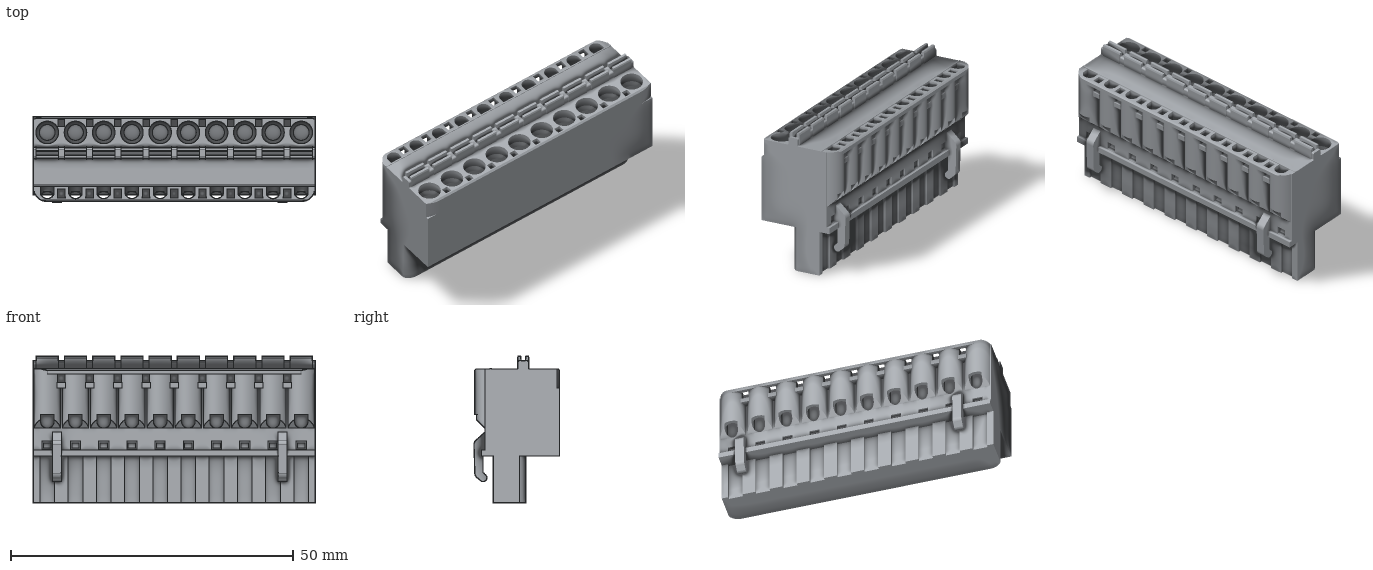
import cadquery as cq


POLES = 10
PITCH = 5.0
LENGTH = POLES * PITCH
OVERALL_HEIGHT = 26.0
CLIP_FRONT = -15.2

BODY_FRONT = -13.25
BODY_BOTTOM = 8.3
BODY_TOP = 23.75
BACK_CHAMFER = 0.3
BACK_ROUND_X = 2.5
BACK_ROUND_Y = 0.5
BACK_ROUND_BOTTOM = 20.4

PLUG_BACK = -6.0
PLUG_FRONT = -11.8
PLUG_ROUND_X = 2.0
PLUG_ROUND_Y = 1.15
PLUG_GROOVE_WIDTH = 2.6
PLUG_GROOVE_DEPTH = 0.45

LEDGE_FRONT = -13.85
LEDGE_TOP = 9.4

COLUMN_DIAMETER = 4.85
COLUMN_RADIUS = COLUMN_DIAMETER / 2
COLUMN_FRONT = -15.05
COLUMN_Y = COLUMN_FRONT + COLUMN_RADIUS
COLUMN_BOTTOM = 13.25
CAP_BOTTOM = 22.8
CAP_CHAMFER = 0.25

WIRE_DIAMETER = 2.4
WIRE_RADIUS = WIRE_DIAMETER / 2
WIRE_Y = -13.3
WIRE_BACK = -12.35
WIRE_ARC_Z = COLUMN_BOTTOM + WIRE_RADIUS
WINDOW_TOP = COLUMN_BOTTOM + WIRE_DIAMETER

FRONT_POCKET_WIDTH = 1.3
FRONT_POCKET_BACK = -12.85
FRONT_POCKET_FRONT = -14.45
FRONT_POCKET_FLOOR = 21.35
FILLER_BOTTOM = 20.4
FILLER_WIDTH = 1.5
BACK_POCKET_WIDTH = 1.15
BACK_POCKET_BACK = -0.5
BACK_POCKET_FRONT = -1.7
BACK_POCKET_DEPTH = 2.5

WELL_TOP_DIAMETER = 4.0
WELL_FLOOR_DIAMETER = 2.8
WELL_DEPTH = 2.5
WELL_Y = -2.8

RIDGE_BACK = -5.45
RIDGE_FRONT = -7.45
SEPARATOR_TOP = 25.2
SEPARATOR_INSET = 0.05
SEPARATOR_ROUND = 0.3
SEPARATOR_FOOT = 0.2
TILE_WIDTH = 3.95
FIN_THICKNESS = 0.55
FIN_BEVEL_HEIGHT = 0.3
FIN_BEVEL_DEPTH = 0.1
GROOVE_TAPER = 0.15
GROOVE_FLOOR = 24.75

RIB_BACK = -12.1
RIB_FRONT = -12.35
RIB_HEIGHT = 0.1

TEST_WIDTH = 1.8
TEST_BOTTOM = 9.45
TEST_TOP = 10.95
TEST_DEPTH = 0.5
TEST_INNER_WIDTH = 1.3
TEST_INNER_BOTTOM = 9.75
TEST_INNER_TOP = 10.6
TEST_INNER_DEPTH = 0.75

CLIP_WIDTH = 1.6
CLIP_FIRST_X = 4.2
CLIP_SPACING = 8 * PITCH
CLIP_TOP = 12.55
CLIP_INNER_Y = -13.55
CLIP_SHOULDER_END_Z = 10.35
CLIP_SHOULDER_RADIUS = 1.05
CLIP_KNEE_RADIUS = 1.0
CLIP_HOOK_NECK_Z = 5.4
CLIP_HOOK_RADIUS = 0.7
CLIP_SHOULDER_START = (-14.85, 11.1)
CLIP_KNEE_START = (-15.05, 5.25)
CLIP_KNEE_END = (-14.6, 4.45)
CLIP_HOOK_TOE = (-13.9, 3.85)
CLIP_HOOK_TIP = (-12.95, 4.8)

POLE_CENTRES = [(i + 0.5) * PITCH for i in range(POLES)]
POLE_BORDERS = [i * PITCH for i in range(1, POLES)]
MARGIN = 0.5


def block(x_start, x_end, y_back, y_front, z_low, z_high):
    """Box between the given limits; y_back is the larger Y."""
    size = (x_end - x_start, y_back - y_front, z_high - z_low)
    return cq.Workplane("XY").box(*size, centered=False).translate((x_start, y_front, z_low))


def centred_block(x_centre, width, y_back, y_front, z_low, z_high):
    return block(x_centre - width / 2, x_centre + width / 2, y_back, y_front, z_low, z_high)


def along_x(profile, x_centre, width):
    """Extrude a closed (y, z) profile along X."""
    start = cq.Workplane("YZ", origin=(x_centre - width / 2, 0, 0))
    return start.polyline(profile).close().extrude(width)


def post(x_centre, y_centre, radius, z_low, z_high):
    return cq.Workplane("XY", origin=(x_centre, y_centre, z_low)).circle(radius).extrude(z_high - z_low)


def bowed_slab(y_back, y_front, round_x, round_y, z_low, z_high):
    """Full-length slab whose back corners are arcs that run smoothly into the back wall."""
    arc_radius = (round_x**2 + round_y**2) / (2 * round_y)
    outline = (
        cq.Workplane("XY", origin=(0, 0, z_low))
        .moveTo(0, y_front)
        .lineTo(LENGTH, y_front)
        .lineTo(LENGTH, y_back - round_y)
        .radiusArc((LENGTH - round_x, y_back), -arc_radius)
        .lineTo(round_x, y_back)
        .radiusArc((0, y_back - round_y), -arc_radius)
        .close()
    )
    return outline.extrude(z_high - z_low)


def housing():
    lower = block(0, LENGTH, 0, BODY_FRONT, BODY_BOTTOM, BACK_ROUND_BOTTOM)
    upper = bowed_slab(0, BODY_FRONT, BACK_ROUND_X, BACK_ROUND_Y, BACK_ROUND_BOTTOM, BODY_TOP)
    back_edge = [
        (-BACK_CHAMFER, BODY_TOP),
        (0, BODY_TOP),
        (0, BODY_TOP - BACK_CHAMFER),
    ]
    upper = upper.cut(along_x(back_edge, LENGTH / 2, LENGTH))
    ledge = block(0, LENGTH, BODY_FRONT, LEDGE_FRONT, BODY_BOTTOM, LEDGE_TOP)
    return lower.union(upper).union(ledge)


def plug():
    body = bowed_slab(PLUG_BACK, PLUG_FRONT, PLUG_ROUND_X, PLUG_ROUND_Y, 0, BODY_BOTTOM)
    groove_back = PLUG_FRONT + PLUG_GROOVE_DEPTH
    for x in POLE_CENTRES:
        groove = centred_block(x, PLUG_GROOVE_WIDTH, groove_back, PLUG_FRONT - MARGIN, 0, BODY_BOTTOM)
        body = body.cut(groove)
    return body


def columns():
    """Round columns, bevelled at 45 degrees below and capped by a bar above."""
    cap = block(POLE_CENTRES[0], POLE_CENTRES[-1], COLUMN_Y, COLUMN_FRONT, CAP_BOTTOM, BODY_TOP)
    for x in POLE_CENTRES:
        cap = cap.union(post(x, COLUMN_Y, COLUMN_RADIUS, COLUMN_BOTTOM, BODY_TOP))
    reach = BODY_FRONT - COLUMN_FRONT + MARGIN
    foot_bevel = [
        (BODY_FRONT, COLUMN_BOTTOM),
        (BODY_FRONT - reach, COLUMN_BOTTOM),
        (BODY_FRONT - reach, COLUMN_BOTTOM + reach),
    ]
    top_bevel = [
        (COLUMN_FRONT, BODY_TOP - CAP_CHAMFER),
        (COLUMN_FRONT, BODY_TOP),
        (COLUMN_FRONT + CAP_CHAMFER, BODY_TOP),
    ]
    for bevel in (foot_bevel, top_bevel):
        cap = cap.cut(along_x(bevel, LENGTH / 2, LENGTH))
    return cap


def wire_entry(x):
    """Vertical hole, flat at the back and round at the front."""
    round_front = post(x, WIRE_Y, WIRE_RADIUS, WIRE_ARC_Z, BODY_TOP + MARGIN)
    flat_back = centred_block(x, WIRE_DIAMETER, WIRE_BACK, WIRE_Y, WIRE_ARC_Z, BODY_TOP + MARGIN)
    behind = centred_block(x, WIRE_DIAMETER, WIRE_Y + WIRE_DIAMETER, WIRE_BACK, WIRE_ARC_Z, BODY_TOP + MARGIN)
    return round_front.cut(behind).union(flat_back)


def wire_window(x):
    """U-shaped opening through the column front, as deep as the wire entry."""
    window_front = COLUMN_FRONT - MARGIN
    depth = WIRE_BACK - window_front
    round_end = cq.Workplane("XZ", origin=(x, WIRE_BACK, WIRE_ARC_Z)).circle(WIRE_RADIUS).extrude(depth)
    return round_end.union(centred_block(x, WIRE_DIAMETER, WIRE_BACK, window_front, WIRE_ARC_Z, WINDOW_TOP))


def front_pocket(x):
    return centred_block(
        x, FRONT_POCKET_WIDTH, FRONT_POCKET_BACK, FRONT_POCKET_FRONT, FRONT_POCKET_FLOOR, BODY_TOP
    )


def valley_filler(x):
    """Block under a front pocket, bridging the valley between two columns."""
    return centred_block(
        x, FILLER_WIDTH, FRONT_POCKET_BACK, FRONT_POCKET_FRONT, FILLER_BOTTOM, FRONT_POCKET_FLOOR
    )


def back_pocket(x):
    floor = BODY_TOP - BACK_POCKET_DEPTH
    return centred_block(x, BACK_POCKET_WIDTH, BACK_POCKET_BACK, BACK_POCKET_FRONT, floor, BODY_TOP)


def screwdriver_well(x):
    """Round well whose straight wall ends in a conical foot."""
    floor_z = BODY_TOP - WELL_DEPTH
    well = post(x, WELL_Y, WELL_TOP_DIAMETER / 2, floor_z, BODY_TOP)
    foot = (WELL_TOP_DIAMETER - WELL_FLOOR_DIAMETER) / 2
    return well.faces("<Z").chamfer(foot)


def test_window(x):
    """Shallow recess with a deeper, sloping inner pocket."""
    floor = BODY_FRONT + TEST_DEPTH
    recess = centred_block(x, TEST_WIDTH, floor, BODY_FRONT - MARGIN, TEST_BOTTOM, TEST_TOP)
    slope = [
        (floor, TEST_INNER_BOTTOM),
        (floor + TEST_INNER_DEPTH, TEST_INNER_TOP),
        (floor, TEST_INNER_TOP),
    ]
    return recess.union(along_x(slope, x, TEST_INNER_WIDTH))


def separators():
    """Round-topped strip with flared feet, kept only between and beside the tiles."""
    back = RIDGE_BACK - SEPARATOR_INSET
    front = RIDGE_FRONT + SEPARATOR_INSET
    foot_z = BODY_TOP + SEPARATOR_FOOT
    shoulder_z = SEPARATOR_TOP - SEPARATOR_ROUND
    outline = (
        cq.Workplane("YZ")
        .moveTo(back + SEPARATOR_FOOT, BODY_TOP)
        .radiusArc((back, foot_z), SEPARATOR_FOOT)
        .lineTo(back, shoulder_z)
        .radiusArc((back - SEPARATOR_ROUND, SEPARATOR_TOP), -SEPARATOR_ROUND)
        .lineTo(front + SEPARATOR_ROUND, SEPARATOR_TOP)
        .radiusArc((front, shoulder_z), -SEPARATOR_ROUND)
        .lineTo(front, foot_z)
        .radiusArc((front - SEPARATOR_FOOT, BODY_TOP), SEPARATOR_FOOT)
        .close()
    )
    strip = outline.extrude(LENGTH)
    for x in POLE_CENTRES:
        gap = centred_block(
            x, TILE_WIDTH, back + SEPARATOR_FOOT, front - SEPARATOR_FOOT, BODY_TOP, SEPARATOR_TOP
        )
        strip = strip.cut(gap)
    return strip


def tile(x):
    """Block carrying two upright fins with a tapered groove between them."""
    bevel_z = OVERALL_HEIGHT - FIN_BEVEL_HEIGHT
    profile = [
        (RIDGE_BACK, BODY_TOP),
        (RIDGE_BACK, bevel_z),
        (RIDGE_BACK - FIN_BEVEL_DEPTH, OVERALL_HEIGHT),
        (RIDGE_BACK - FIN_THICKNESS, OVERALL_HEIGHT),
        (RIDGE_BACK - FIN_THICKNESS - GROOVE_TAPER, GROOVE_FLOOR),
        (RIDGE_FRONT + FIN_THICKNESS + GROOVE_TAPER, GROOVE_FLOOR),
        (RIDGE_FRONT + FIN_THICKNESS, OVERALL_HEIGHT),
        (RIDGE_FRONT + FIN_BEVEL_DEPTH, OVERALL_HEIGHT),
        (RIDGE_FRONT, bevel_z),
        (RIDGE_FRONT, BODY_TOP),
    ]
    return along_x(profile, x, TILE_WIDTH)


def top_rib():
    return block(0, LENGTH, RIB_BACK, RIB_FRONT, BODY_TOP, BODY_TOP + RIB_HEIGHT)


def clip(x):
    """Hooked latch growing from the front face over the ledge."""
    start = cq.Workplane("YZ", origin=(x - CLIP_WIDTH / 2, 0, 0))
    outline = (
        start.moveTo(BODY_FRONT, CLIP_TOP)
        .lineTo(*CLIP_SHOULDER_START)
        .radiusArc((CLIP_FRONT, CLIP_SHOULDER_END_Z), -CLIP_SHOULDER_RADIUS)
        .lineTo(*CLIP_KNEE_START)
        .radiusArc(CLIP_KNEE_END, -CLIP_KNEE_RADIUS)
        .lineTo(*CLIP_HOOK_TOE)
        .radiusArc(CLIP_HOOK_TIP, -CLIP_HOOK_RADIUS)
        .lineTo(CLIP_INNER_Y, CLIP_HOOK_NECK_Z)
        .lineTo(CLIP_INNER_Y, BODY_BOTTOM)
        .lineTo(BODY_FRONT, BODY_BOTTOM)
        .close()
    )
    return outline.extrude(CLIP_WIDTH)


part = housing().union(plug()).union(columns()).union(separators()).union(top_rib())

for border in POLE_BORDERS:
    part = part.cut(front_pocket(border)).cut(back_pocket(border)).union(valley_filler(border))

for centre in POLE_CENTRES:
    part = part.cut(wire_entry(centre)).cut(wire_window(centre))
    part = part.cut(screwdriver_well(centre)).cut(test_window(centre))
    part = part.union(tile(centre))

for clip_x in (CLIP_FIRST_X, CLIP_FIRST_X + CLIP_SPACING):
    part = part.union(clip(clip_x))

result = part